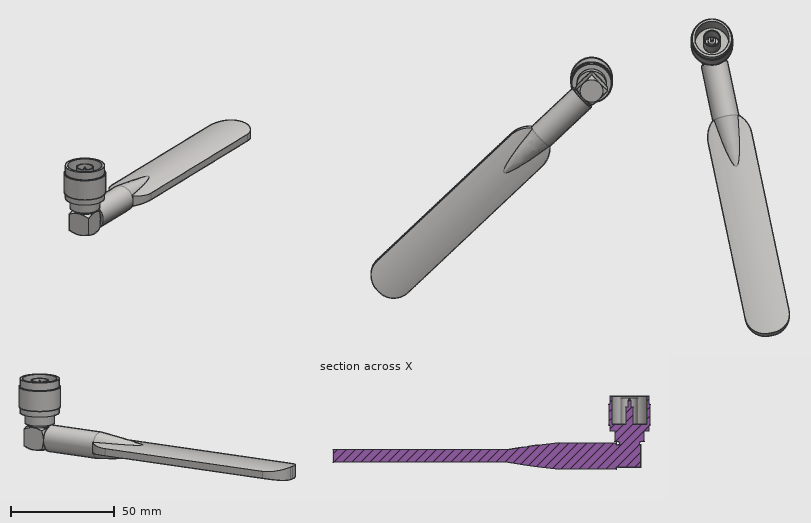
import cadquery as cq
import math

overall_length = 152.8
overall_height = 35.3
stem_diameter = 13.0
stem_radius = stem_diameter / 2
top_z = overall_height - stem_radius

stem_start_y = 6.3
stem_end_y = 33.9
blade_width = 21.5
blade_edge_thickness = 3.5
blade_center_thickness = 6.3
blade_neck_half_width = 6.4
blade_full_width_y = 43.5
tip_corner_radius = 9.8
taper_end_y = 58.5
taper_mid_radius = 5.0

nut_radius = 10.1
nut_end_radius = 9.5
nut_chamfer = 0.3
nut_bottom_z = 11.9
grip_bottom_z = 14.7
grip_top_z = 25.0
sleeve_radius = 7.2
sleeve_bottom_z = 6.9
bore_radius = 8.3
bore_floor_z = 15.3
contact_radius = 4.1
contact_wall = 0.5
contact_top_z = 28.0
pin_radius = 1.8
pin_shoulder_z = 23.7
pin_tip_radius = 0.8
pin_tip_cone_height = 1.2

block_size = 11.0
block_chamfer_angle = 30.0
neck_base_radius = 4.7
neck_top_radius = 5.3

half_width = blade_width / 2
half_block = block_size / 2
blade_end_y = overall_length - nut_radius


def revolve_about_z(points):
    """Turn a closed (radius, height) outline about the Z axis."""
    return cq.Workplane("XZ").polyline(points).close().revolve(360, (0, 0), (0, 1))


def cylinder_z(radius, bottom_z, top):
    return cq.Workplane("XY").workplane(offset=bottom_z).circle(radius).extrude(top - bottom_z)


def make_blade():
    """Flat paddle with domed faces and rounded ends."""
    root_length = blade_full_width_y - stem_end_y
    root_inset = half_width - blade_neck_half_width
    root_radius = (root_length**2 + root_inset**2) / (2 * root_inset)
    root_half_angle = math.asin(root_length / root_radius) / 2
    root_mid_x = half_width - root_radius * (1 - math.cos(root_half_angle))
    root_mid_y = blade_full_width_y - root_radius * math.sin(root_half_angle)
    outline = (
        cq.Workplane("XY")
        .workplane(offset=-blade_center_thickness / 2)
        .moveTo(-blade_neck_half_width, stem_end_y)
        .lineTo(blade_neck_half_width, stem_end_y)
        .threePointArc((root_mid_x, root_mid_y), (half_width, blade_full_width_y))
        .lineTo(half_width, blade_end_y)
        .lineTo(-half_width, blade_end_y)
        .lineTo(-half_width, blade_full_width_y)
        .threePointArc((-root_mid_x, root_mid_y), (-blade_neck_half_width, stem_end_y))
        .close()
        .extrude(blade_center_thickness)
        .edges("|Z and >Y")
        .fillet(tip_corner_radius)
    )
    edge_z = blade_edge_thickness / 2
    center_z = blade_center_thickness / 2
    lens = (
        cq.Workplane("XZ")
        .moveTo(-half_width, -edge_z)
        .threePointArc((0, -center_z), (half_width, -edge_z))
        .lineTo(half_width, edge_z)
        .threePointArc((0, center_z), (-half_width, edge_z))
        .close()
        .extrude(-blade_end_y)
    )
    return outline.intersect(lens)


def make_stem():
    """Round stem whose bulging taper sinks into the blade faces."""
    return (
        cq.Workplane("XY")
        .moveTo(0, stem_start_y)
        .lineTo(stem_radius, stem_start_y)
        .lineTo(stem_radius, stem_end_y)
        .threePointArc(
            (taper_mid_radius, (stem_end_y + taper_end_y) / 2),
            (blade_center_thickness / 2, taper_end_y),
        )
        .lineTo(0, taper_end_y)
        .close()
        .revolve(360, (0, 0), (0, 1))
    )


def make_block():
    """Cube with its corners turned off conically about both connection axes."""
    corner_radius = half_block * math.sqrt(2)
    corner_drop = (corner_radius - half_block) * math.tan(math.radians(block_chamfer_angle))
    shoulder = half_block - corner_drop
    z_turning = revolve_about_z([
        (0, -half_block),
        (half_block, -half_block),
        (corner_radius, -shoulder),
        (corner_radius, shoulder),
        (half_block, half_block),
        (0, half_block),
    ])
    y_turning = (
        cq.Workplane("XY")
        .polyline([
            (0, -half_block),
            (corner_radius, -half_block),
            (corner_radius, shoulder),
            (half_block, half_block),
            (0, half_block),
        ])
        .close()
        .revolve(360, (0, 0), (0, 1))
    )
    cube = cq.Workplane("XY").box(block_size, block_size, block_size)
    return cube.intersect(z_turning).intersect(y_turning)


def make_necks():
    """Short flared necks joining the block to the sleeve and to the stem."""
    z_neck = revolve_about_z([
        (0, 0),
        (neck_base_radius, 0),
        (neck_base_radius, half_block),
        (neck_top_radius, sleeve_bottom_z),
        (0, sleeve_bottom_z),
    ])
    y_neck = cq.Workplane("XZ").circle(neck_top_radius).extrude(-stem_start_y)
    return z_neck.union(y_neck)


def make_connector():
    """Coupling nut on its sleeve, with a tubular contact and pointed pin in the bore."""
    grip_edge_radius = nut_radius - nut_chamfer
    body = revolve_about_z([
        (0, sleeve_bottom_z),
        (sleeve_radius, sleeve_bottom_z),
        (sleeve_radius, nut_bottom_z),
        (nut_end_radius, nut_bottom_z),
        (nut_end_radius, grip_bottom_z),
        (grip_edge_radius, grip_bottom_z),
        (nut_radius, grip_bottom_z + nut_chamfer),
        (nut_radius, grip_top_z - nut_chamfer),
        (grip_edge_radius, grip_top_z),
        (nut_end_radius, grip_top_z),
        (nut_end_radius, top_z),
        (0, top_z),
    ])
    bore = cylinder_z(bore_radius, bore_floor_z, top_z)
    contact = cylinder_z(contact_radius, bore_floor_z, contact_top_z)
    contact_bore = cylinder_z(contact_radius - contact_wall, bore_floor_z, contact_top_z)
    pin = revolve_about_z([
        (0, bore_floor_z),
        (pin_radius, bore_floor_z),
        (pin_radius, pin_shoulder_z),
        (pin_tip_radius, pin_shoulder_z),
        (pin_tip_radius, contact_top_z - pin_tip_cone_height),
        (0, contact_top_z),
    ])
    return body.cut(bore).union(contact.cut(contact_bore)).union(pin)


result = (
    make_stem()
    .union(make_blade())
    .union(make_necks())
    .union(make_block())
    .union(make_connector())
)